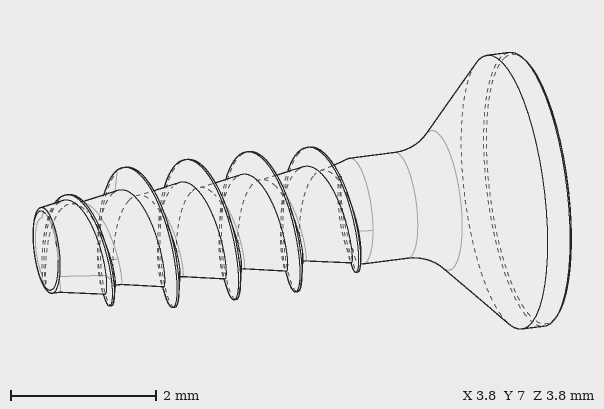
import cadquery as cq
import math


head_radius = 1.9
total_length = 7.0
rim_height = 0.355
rim_edge_break = 0.03
shank_radius = 0.735
neck_fillet_radius = 0.8
shank_end_depth = 2.5

core_radius = 0.595
run_in_cone_length = 0.5
tip_chamfer_width = 0.045
tip_chamfer_height = 0.015

pitch = 0.89
crest_radius = 1.0
crest_half_width = 0.015
flank_slope = 0.31
shoulder_radius = 0.70
taper_end_radius = core_radius - 0.004
turn_gap = 0.02
root_radius = 0.45
root_width = 0.5
thread_origin_depth = 2.325
tip_overrun = 0.02
first_turn = -0.06
run_in_end_turn = 1.0
run_out_start_turn = 3.85
last_turn = 5.2
first_crest_radius = 0.745
last_crest_radius = 0.615
points_per_turn = 24

full_shoulder_offset = crest_half_width + flank_slope * (crest_radius - shoulder_radius)
full_flank_width = crest_half_width + flank_slope * (crest_radius - taper_end_radius)
taper_end_offset = pitch - full_flank_width - turn_gap
core_taper = (shoulder_radius - taper_end_radius) / (taper_end_offset - full_shoulder_offset)
last_taper_depth = total_length + tip_overrun
level_end_turn = (shank_end_depth - thread_origin_depth) / pitch
tip_start_turn = (last_taper_depth - taper_end_offset - thread_origin_depth) / pitch


def axis_revolve(profile):
    """Revolve a closed (radius, -depth) profile about the screw axis."""
    return profile.close().revolve(360, (0, 0, 0), (0, 1, 0))


def make_body():
    """Head, neck, shank and threaded core as one turned solid."""
    diagonal = math.sqrt(0.5)
    neck_start_radius = shank_radius + neck_fillet_radius * (1 - diagonal)
    neck_start_depth = rim_height + head_radius - neck_start_radius
    neck_end_depth = neck_start_depth + neck_fillet_radius * diagonal
    neck_mid_angle = math.radians(22.5)
    neck_mid_radius = shank_radius + neck_fillet_radius * (1 - math.cos(neck_mid_angle))
    neck_mid_depth = neck_end_depth - neck_fillet_radius * math.sin(neck_mid_angle)
    profile = (
        cq.Workplane("XY")
        .lineTo(head_radius - rim_edge_break, 0)
        .lineTo(head_radius, -rim_edge_break)
        .lineTo(head_radius, -rim_height)
        .lineTo(neck_start_radius, -neck_start_depth)
        .threePointArc((neck_mid_radius, -neck_mid_depth), (shank_radius, -neck_end_depth))
        .lineTo(shank_radius, -shank_end_depth)
        .lineTo(core_radius, -shank_end_depth - run_in_cone_length)
        .lineTo(core_radius, -total_length + tip_chamfer_height)
        .lineTo(core_radius - tip_chamfer_width, -total_length)
        .lineTo(0, -total_length)
    )
    return axis_revolve(profile)


def crest_radius_at(turn):
    """Crest radius, growing along the run-in and shrinking along the run-out."""
    if turn < run_in_end_turn:
        remaining = (run_in_end_turn - turn) / (run_in_end_turn - first_turn)
        return crest_radius - (crest_radius - first_crest_radius) * remaining
    if turn > run_out_start_turn:
        travelled = (turn - run_out_start_turn) / (last_turn - run_out_start_turn)
        return crest_radius - (crest_radius - last_crest_radius) * travelled
    return crest_radius


def shoulder_radius_at(lower_crest_depth, crest):
    """Radius where the lower flank meets the core, held on the cone that ends at the tip."""
    axial_run = last_taper_depth - lower_crest_depth - flank_slope * crest
    cone_radius = (taper_end_radius + core_taper * axial_run) / (1 - core_taper * flank_slope)
    return min(shoulder_radius, cone_radius)


def thread_section(turn):
    """Corners of the thread section at one turn, as (radius, depth) pairs."""
    helix_depth = thread_origin_depth + pitch * turn
    crest_depth = max(helix_depth, shank_end_depth)
    upper_crest_depth = crest_depth - crest_half_width
    lower_crest_depth = crest_depth + crest_half_width
    crest = crest_radius_at(turn)
    shoulder = shoulder_radius_at(lower_crest_depth, crest)
    upper_root_depth = upper_crest_depth - flank_slope * (crest - root_radius)
    return [
        (root_radius, upper_root_depth),
        (crest, upper_crest_depth),
        (crest, lower_crest_depth),
        (shoulder, lower_crest_depth + flank_slope * (crest - shoulder)),
        (taper_end_radius, min(helix_depth + taper_end_offset, last_taper_depth)),
        (root_radius, upper_root_depth + root_width),
    ]


def section_points(turn):
    """Thread section corners placed in space; turn 0 points along -X."""
    angle = math.pi + 2 * math.pi * turn
    return [
        cq.Vector(radius * math.cos(angle), -depth, radius * math.sin(angle))
        for radius, depth in thread_section(turn)
    ]


def make_strips(start_turn, end_turn):
    """Ruled faces between neighbouring corner curves over one span of the thread."""
    step_count = math.ceil((end_turn - start_turn) * points_per_turn)
    turn_step = (end_turn - start_turn) / step_count
    sections = [section_points(start_turn + i * turn_step) for i in range(step_count + 1)]
    curves = [cq.Edge.makeSpline(list(corner_path)) for corner_path in zip(*sections)]
    return [cq.Face.makeRuledSurface(curves[i - 1], curves[i]) for i in range(len(curves))]


def make_thread():
    """Solid bounded by the strips of every span and a flat cap at each end."""
    span_ends = [
        first_turn, level_end_turn, run_in_end_turn, run_out_start_turn, tip_start_turn, last_turn,
    ]
    faces = []
    for start_turn, end_turn in zip(span_ends, span_ends[1:]):
        faces += make_strips(start_turn, end_turn)
    for turn in (first_turn, last_turn):
        outline = cq.Wire.makePolygon(section_points(turn), close=True)
        faces.append(cq.Face.makeFromWires(outline))
    return cq.Workplane(cq.Solid.makeSolid(cq.Shell.makeShell(faces)))


def make_thread_envelope():
    """Turned space that trims the thread flush with the tip face and its chamfer."""
    outer_radius = crest_radius + 0.1
    chamfer_slope = tip_chamfer_height / tip_chamfer_width
    chamfer_rise = (outer_radius - core_radius + tip_chamfer_width) * chamfer_slope
    profile = (
        cq.Workplane("XY")
        .moveTo(0, -rim_height)
        .lineTo(outer_radius, -rim_height)
        .lineTo(outer_radius, -total_length + chamfer_rise)
        .lineTo(core_radius - tip_chamfer_width, -total_length)
        .lineTo(0, -total_length)
    )
    return axis_revolve(profile)


thread = make_thread().intersect(make_thread_envelope())
result = make_body().union(thread, clean=False)